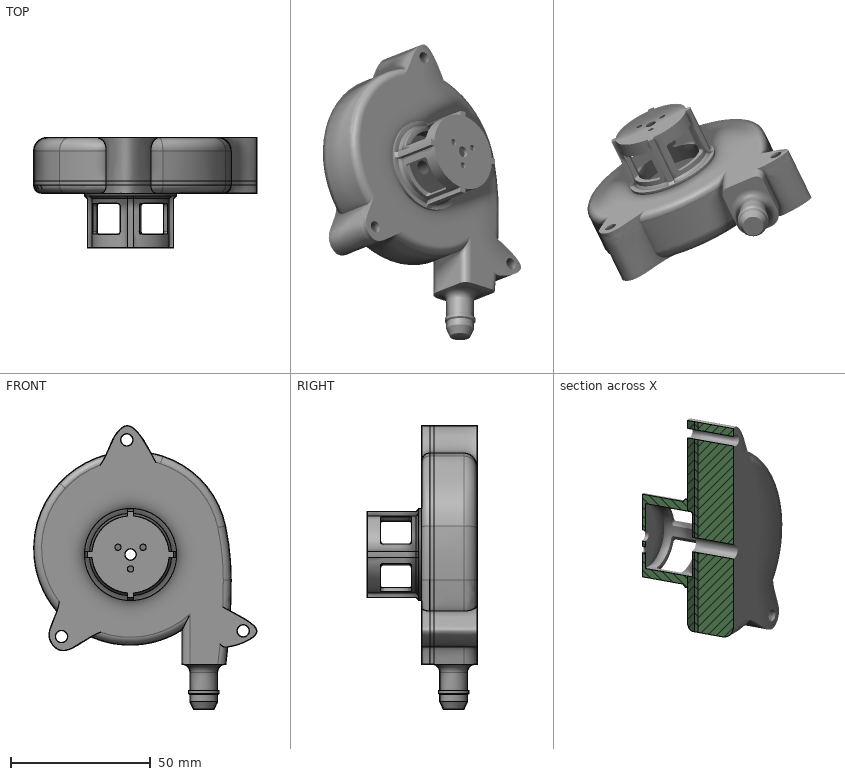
import cadquery as cq
import math


housing_depth = 15.5
gasket_thickness = 1.5
cover_thickness = 2.9
housing_edge_radius = 4.9
cover_edge_radius = 2.8
gasket_back = housing_depth
cover_back = gasket_back + gasket_thickness
case_depth = cover_back + cover_thickness

outlet_left = 18.4
outlet_right = 34.1
outlet_end = -39.3
scroll_start = (36.0, -9.1)
scroll_arcs = [(93.4, 12), (33.5, 60), (35.5, 65), (34.5, 178)]
outlet_right_slope = 0.12

lug_hole_diameter = 4.3
lugs = [
    ((-1.3, 41.0), [(-11.4, 31.5), (-8.3, 36.7), (-5.5, 42.6), (-1.2, 46.1), (3.4, 42.7), (7.1, 36.7), (9.7, 31.8)]),
    ((-24.7, -29.3), [(-25.6, -17.1), (-28.0, -24.5), (-29.0, -30.0), (-25.9, -34.0), (-16.4, -30.9), (-8.4, -27.4)]),
    ((40.3, -27.3), [(33.0, -18.7), (42.1, -23.9), (45.2, -27.6), (42.1, -30.7), (32.7, -32.7)]),
]

shaft_bore_diameter = 5.2
cage_bore_diameter = 24.0
recess_depth = 2.0

nozzle_x = 26.2
nozzle_depth = 8.5
nozzle_radius = 10.0 / 2
nozzle_end = -55.4
tip_radius = 3.7
tip_length = 2.8
flare_radius = 2.8
barb_radius = 11.0 / 2
barb_top = -48.6
barb_height = 1.0

cage_length = 19.5
cage_diameter = 27.6
cap_thickness = 1.5
cap_hole_diameter = 4.0
flange_diameter = 33.0
flange_thickness = 1.0
foot_chamfer = 0.9
rib_tip_radius = 15.4
rib_width = 2.2
window_count = 4
window_width = 14.0
window_height = 11.0
window_from_end = 4.9
window_corner_radius = 0.9
window_angle = 46.3
screw_hole_diameter = 2.2
screw_hole_depth = 1.0
screw_circle_radius = 5.2
screw_angles = (30, 150, 270)


def plane_at(depth):
    """XZ sketch plane at a distance in front of the case back."""
    return cq.Workplane("XZ", origin=(0, -depth, 0))


def step_along_arc(center, radius, degrees):
    angle = math.radians(degrees)
    return (center[0] + radius * math.cos(angle), center[1] + radius * math.sin(angle))


def scroll_profile(depth):
    """Chain of tangent arcs, counterclockwise, whose two ends lie at the outlet."""
    profile = plane_at(depth).moveTo(*scroll_start)
    start = scroll_start
    angle = 0
    for radius, sweep in scroll_arcs:
        center = step_along_arc(start, -radius, angle)
        middle = step_along_arc(center, radius, angle + sweep / 2)
        angle += sweep
        start = step_along_arc(center, radius, angle)
        profile = profile.threePointArc(middle, start)
    return profile.lineTo(start[0], scroll_start[1]).close()


def outlet_profile(depth):
    """Straight part of the case, with a right wall that carries on from the scroll."""
    return (
        plane_at(depth)
        .moveTo(outlet_left, scroll_start[1])
        .lineTo(*scroll_start)
        .spline(
            [(outlet_right, outlet_end)],
            tangents=[(0, -1), (-outlet_right_slope, -1)],
            includeCurrent=True,
        )
        .lineTo(outlet_left, outlet_end)
        .close()
    )


def case_layer(back, thickness, rounded_face=None, edge_radius=0):
    """One slice of the case with its lugs, lug holes and shaft bore."""
    layer = scroll_profile(back).extrude(thickness)
    outlet = outlet_profile(back).extrude(thickness)
    if rounded_face:
        layer = layer.faces(rounded_face).edges("not (|X or |Z)").fillet(edge_radius)
        outlet = outlet.faces(rounded_face).edges("not |X").fillet(edge_radius)
    layer = layer.union(outlet)
    for _, edge in lugs:
        lug = plane_at(back).moveTo(*edge[0]).spline(edge[1:], includeCurrent=True).lineTo(0, 0).close()
        layer = layer.union(lug.extrude(thickness))
    holes = plane_at(back).pushPoints([hole for hole, _ in lugs]).circle(lug_hole_diameter / 2).extrude(thickness)
    bore = plane_at(back).circle(shaft_bore_diameter / 2).extrude(thickness)
    return layer.cut(holes).cut(bore)


def make_nozzle():
    tip_start = nozzle_end + tip_length
    barb_bottom = barb_top - barb_height
    flare_end = outlet_end - flare_radius
    arc_reach = flare_radius * (1 - math.sqrt(0.5))
    overhang = barb_radius - nozzle_radius
    return (
        cq.Workplane("XZ", origin=(nozzle_x, -nozzle_depth, 0))
        .moveTo(0, outlet_end)
        .lineTo(nozzle_radius + flare_radius, outlet_end)
        .threePointArc((nozzle_radius + arc_reach, outlet_end - arc_reach), (nozzle_radius, flare_end))
        .lineTo(nozzle_radius, barb_top)
        .lineTo(barb_radius, barb_top)
        .lineTo(barb_radius, barb_bottom)
        .lineTo(nozzle_radius, barb_bottom - overhang)
        .lineTo(nozzle_radius, tip_start)
        .lineTo(tip_radius, nozzle_end)
        .lineTo(0, nozzle_end)
        .close()
        .revolve(360, (0, 0, 0), (0, 1, 0))
    )


def make_housing():
    return case_layer(0, housing_depth, ">Y", housing_edge_radius).union(make_nozzle())


def make_gasket():
    return case_layer(gasket_back, gasket_thickness)


def make_cover():
    cover = case_layer(cover_back, cover_thickness, "<Y", cover_edge_radius)
    recess = plane_at(case_depth - recess_depth).circle(cage_bore_diameter / 2).extrude(recess_depth)
    return cover.cut(recess)


def foot_cone(outer_radius):
    """Flange-side chamfer around a cylinder of the given radius."""
    return (
        plane_at(case_depth + flange_thickness)
        .circle(outer_radius + foot_chamfer)
        .workplane(offset=foot_chamfer)
        .circle(outer_radius)
        .loft()
    )


def make_cage():
    shell_height = cage_length - flange_thickness
    foot = plane_at(case_depth + flange_thickness)
    cage = plane_at(case_depth).circle(flange_diameter / 2).extrude(flange_thickness)
    cage = cage.union(foot.circle(cage_diameter / 2).extrude(shell_height))
    cage = cage.union(foot_cone(cage_diameter / 2))

    rib_bars = foot.rect(4 * rib_tip_radius, rib_width).extrude(shell_height)
    rib_bars = rib_bars.union(foot.rect(rib_width, 4 * rib_tip_radius).extrude(shell_height))
    rib_round = foot.circle(rib_tip_radius).extrude(shell_height).union(foot_cone(rib_tip_radius))
    cage = cage.union(rib_bars.intersect(rib_round))

    bore = plane_at(case_depth).circle(cage_bore_diameter / 2).extrude(cage_length - cap_thickness)
    cage = cage.cut(bore)

    window_y = -(case_depth + cage_length - window_from_end - window_height / 2)
    window = (
        cq.Workplane("YZ", origin=(0, window_y, 0))
        .rect(window_height, window_width)
        .extrude(rib_tip_radius + 1)
        .edges("|X")
        .fillet(window_corner_radius)
    )
    for index in range(window_count):
        turn = -(window_angle + index * 360 / window_count)
        cage = cage.cut(window.rotate((0, 0, 0), (0, 1, 0), turn))

    cap_hole = plane_at(case_depth).circle(cap_hole_diameter / 2).extrude(cage_length)
    screw_points = [
        (screw_circle_radius * math.cos(math.radians(a)), screw_circle_radius * math.sin(math.radians(a)))
        for a in screw_angles
    ]
    screw_holes = (
        plane_at(case_depth + cage_length - screw_hole_depth)
        .pushPoints(screw_points)
        .circle(screw_hole_diameter / 2)
        .extrude(screw_hole_depth)
    )
    return cage.cut(cap_hole).cut(screw_holes)


housing = make_housing()
gasket = make_gasket()
cover = make_cover()
cage = make_cage()

result = cq.Compound.makeCompound([housing.val(), gasket.val(), cover.val(), cage.val()])